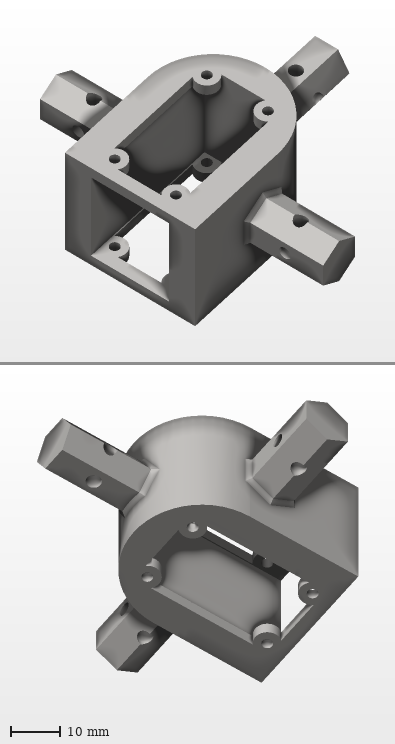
import cadquery as cq
import math

span_x = 74.0
body_height = 29.0

body_width = 34.05
end_radius = body_width / 2
straight_length = 27.0
rear_y = straight_length + end_radius

cavity_width = 20.35
cavity_height = 23.45
cavity_rear_y = 36.9

opening_width = 19.8
opening_front_y = 3.1
opening_length = cavity_rear_y - opening_front_y

plate_thickness = (body_height - cavity_height) / 2
boss_diameter = 5.9
screw_diameter = 2.45
boss_spacing_x = 16.0
boss_spacing_y = 30.0
boss_center_y = 20.0

hex_corner_diameter = 12.0
hex_corner_radius = hex_corner_diameter / 2
side_post_y = 22.0
post_root_chamfer = 0.95
post_length = (span_x - body_width) / 2
post_overlap = 3.7
pin_distance = post_length / 2
pin_diameter = 3.3
side_flat_pin_diameter = 3.0
rear_tip_y = rear_y + post_length


def box_along_y(width, front_y, length, height):
    """Box centred on X = 0 and Z = 0 that starts at front_y."""
    return cq.Workplane("XY").box(width, length, height).translate((0, front_y + length / 2, 0))


def make_body():
    """Solid block with the round rear end, centred on X = 0 and Z = 0."""
    return (
        cq.Workplane("XY")
        .workplane(offset=-body_height / 2)
        .moveTo(-end_radius, 0)
        .lineTo(end_radius, 0)
        .lineTo(end_radius, straight_length)
        .threePointArc((0, rear_y), (-end_radius, straight_length))
        .close()
        .extrude(body_height)
    )


def hex_post(tip, outward, corner_direction):
    """Hexagonal bar from its tip back into the body wall, with a corner towards corner_direction."""
    plane = cq.Plane(origin=tip, xDir=corner_direction, normal=-outward)
    return cq.Workplane(plane).polygon(6, hex_corner_diameter).extrude(post_length + post_overlap)


def is_root_edge(edge):
    """True for an edge where a post meets the outer wall of the body."""
    tolerance = 0.01
    middle = edge.positionAt(0.5)
    within_height = abs(middle.z) < hex_corner_radius + tolerance
    on_side_wall = abs(abs(middle.x) - end_radius) < tolerance
    near_side_post = abs(middle.y - side_post_y) < hex_corner_radius
    axis_distance = math.hypot(middle.x, middle.y - straight_length)
    on_round_end = abs(axis_distance - end_radius) < tolerance
    near_rear_post = abs(middle.x) < hex_corner_radius + tolerance and middle.y > straight_length
    return within_height and ((on_side_wall and near_side_post) or (on_round_end and near_rear_post))


def pin_hole(center, direction, diameter):
    """Cylinder that crosses a whole post at the given centre."""
    length = 2 * hex_corner_diameter
    start = center - direction * (length / 2)
    return cq.Workplane(obj=cq.Solid.makeCylinder(diameter / 2, length, start, direction))


x_axis = cq.Vector(1, 0, 0)
y_axis = cq.Vector(0, 1, 0)
z_axis = cq.Vector(0, 0, 1)

result = make_body()
for side in (-1, 1):
    side_tip = cq.Vector(side * span_x / 2, side_post_y, 0)
    result = result.union(hex_post(side_tip, x_axis * side, z_axis))
result = result.union(hex_post(cq.Vector(0, rear_tip_y, 0), y_axis, x_axis))
root_edges = [edge for edge in result.edges().vals() if is_root_edge(edge)]
result = result.newObject(root_edges).chamfer(post_root_chamfer)

for side in (-1, 1):
    pin_center = cq.Vector(side * (span_x / 2 - pin_distance), side_post_y, 0)
    result = result.cut(pin_hole(pin_center, z_axis, pin_diameter))
    result = result.cut(pin_hole(pin_center, y_axis, side_flat_pin_diameter))
rear_pin_center = cq.Vector(0, rear_tip_y - pin_distance, 0)
for direction in (x_axis, z_axis):
    result = result.cut(pin_hole(rear_pin_center, direction, pin_diameter))

result = result.cut(box_along_y(cavity_width, 0, cavity_rear_y, cavity_height))
result = result.cut(box_along_y(opening_width, opening_front_y, opening_length, body_height))

boss_plan = cq.Workplane("XY").center(0, boss_center_y).rarray(boss_spacing_x, boss_spacing_y, 2, 2)
bosses = boss_plan.circle(boss_diameter / 2).extrude(plate_thickness)
for plate_base_z in (-body_height / 2, body_height / 2 - plate_thickness):
    result = result.union(bosses.translate((0, 0, plate_base_z)))
screws = boss_plan.circle(screw_diameter / 2).extrude(body_height / 2, both=True)
result = result.cut(screws)